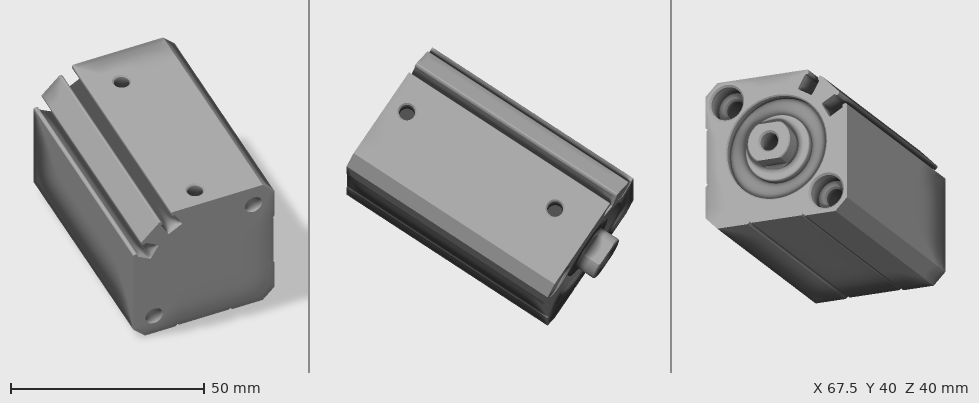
import cadquery as cq
import math


total_length = 67.5
side = 40.0
rod_projection = 5.0
housing_length = total_length - rod_projection
half_side = side / 2

corner_chamfer = 3.3
sensor_corner_chamfer = 9.6

slot_angle = 120
slot_floor_distance = 16.05
slot_width = 4.6
slot_floor_radius = 0.35
lip_thickness = 1.3
lip_edge_radius = 0.5
top_lip_end = 9.2
bevel_lip_end = 3.9

groove_offset = 7.5
groove_depth = 0.6
relief_depth = 0.2

mount_offset = 14.1
mount_diameter = 4.9
mount_bore_diameter = 9.0
mount_bore_depth = 5.5
mount_chamfer = 0.505

port_diameter = 4.1
port_chamfer = 0.4
port_depth = 5.0
first_port_x = 11.0
port_spacing = 46.05

recess_diameter = 28.0
recess_depth = 2.7
recess_chamfer = 0.35
boss_diameter = 18.0
boss_height = 2.15
boss_edge_radius = 0.5

rod_diameter = 12.0
rod_depth = 20.0
rod_tip_chamfer = 0.3
flat_width = 10.0
flat_length = 4.65
rod_hole_diameter = 4.9
rod_hole_depth = 10.0
rod_hole_chamfer = 0.505
drill_half_angle = 59


def cylinder(x_start, length, diameter, y=0, z=0):
    """Cylinder along X from x_start."""
    return cq.Workplane("YZ", origin=(x_start, y, z)).circle(diameter / 2).extrude(length)


def chamfer_cutter(x_start, diameter, size, y=0, z=0):
    """Cone that bevels the mouth of an X hole; its wide end is at x_start."""
    cone = cq.Solid.makeCone(diameter / 2 + size, diameter / 2, size, (x_start, y, z), (1, 0, 0))
    return cq.Workplane(obj=cone)


def housing_block():
    """Square bar with three small corner chamfers and a large one on the sensor corner."""
    c = corner_chamfer
    s = sensor_corner_chamfer
    h = half_side
    outline = [
        (h - c, h), (h, h - c),
        (h, c - h), (h - c, -h),
        (c - h, -h), (-h, c - h),
        (-h, h - s), (s - h, h),
    ]
    return cq.Workplane("YZ").polyline(outline).close().extrude(housing_length)


def slot_point(distance, offset):
    """(Y, Z) of a point given along the slot direction and across it, toward the bevel."""
    angle = math.radians(slot_angle)
    cos_a, sin_a = math.cos(angle), math.sin(angle)
    return (distance * cos_a - offset * sin_a, distance * sin_a + offset * cos_a)


def bevel_point(along, depth):
    """(Y, Z) of a point at a depth below the sensor bevel, measured from the middle of the bevel."""
    bevel_distance = (side - sensor_corner_chamfer) / math.sqrt(2)
    out = bevel_distance - depth
    return ((along - out) / math.sqrt(2), (along + out) / math.sqrt(2))


def top_lip_edges():
    """Outer and inner (Y, Z) corners of the lip that continues the top face."""
    return [(-top_lip_end, half_side), (-top_lip_end, half_side - lip_thickness)]


def bevel_lip_edges():
    """Outer and inner (Y, Z) corners of the lip that continues the sensor bevel."""
    return [bevel_point(bevel_lip_end, 0), bevel_point(bevel_lip_end, lip_thickness)]


def sensor_slot():
    """Full-length cutter for the slot between the top face and the sensor bevel."""
    half_width = slot_width / 2
    angle = math.radians(slot_angle)
    cos_a, sin_a = math.cos(angle), math.sin(angle)
    top_underside = half_side - lip_thickness
    top_wall = (top_underside + half_width * cos_a) / sin_a
    bevel_underside = side - sensor_corner_chamfer - lip_thickness * math.sqrt(2)
    bevel_wall = (bevel_underside - half_width * (cos_a + sin_a)) / (sin_a - cos_a)

    floor_corners = [
        slot_point(slot_floor_distance, half_width),
        slot_point(slot_floor_distance, -half_width),
    ]
    top_outer, top_inner = top_lip_edges()
    bevel_outer, bevel_inner = bevel_lip_edges()
    outline = floor_corners + [
        slot_point(top_wall, -half_width), top_inner, top_outer,
        (bevel_outer[0], half_side),
        bevel_outer, bevel_inner, slot_point(bevel_wall, half_width),
    ]
    cutter = cq.Workplane("YZ").polyline(outline).close().extrude(housing_length)
    return fillet_long_edges(cutter, floor_corners, slot_floor_radius)


def fillet_long_edges(body, points, radius):
    """Round the edges along X that pass through the given (Y, Z) points."""
    for y, z in points:
        edge = cq.selectors.NearestToPointSelector((housing_length / 2, y, z))
        body = body.edges("|X").edges(edge).fillet(radius)
    return body


def cut_sensor_slots(body):
    """Cut the slot and its mirror image across the plane Y = -Z, and round their lips."""
    slot = sensor_slot()
    mirrored_slot = slot.mirror(cq.Vector(0, 1, 1))
    lip_edges = top_lip_edges() + bevel_lip_edges()
    mirrored_edges = [(-z, -y) for y, z in lip_edges]
    body = body.cut(slot).cut(mirrored_slot)
    return fillet_long_edges(body, lip_edges + mirrored_edges, lip_edge_radius)


def relief_panel():
    """Cutter for the relief on the +Y side, with a V groove along each border."""
    h = half_side
    outer = groove_offset + groove_depth
    inner = groove_offset - (groove_depth - relief_depth)
    outline = [
        (h, outer), (h - groove_depth, groove_offset), (h - relief_depth, inner),
        (h - relief_depth, -inner), (h - groove_depth, -groove_offset), (h, -outer),
    ]
    return cq.Workplane("YZ").polyline(outline).close().extrude(housing_length)


def mount_hole(offset):
    """Counterbored through hole at Y = Z = offset."""
    hole = cylinder(0, housing_length, mount_diameter, offset, offset)
    bore = cylinder(0, mount_bore_depth, mount_bore_diameter, offset, offset)
    mouth = chamfer_cutter(0, mount_bore_diameter, mount_chamfer, offset, offset)
    step = chamfer_cutter(mount_bore_depth, mount_diameter, mount_chamfer, offset, offset)
    return hole.union(bore).union(mouth).union(step)


def port(x):
    """Blind flat-bottomed port cut down from the top face."""
    top = (x, 0, half_side)
    radius = port_diameter / 2
    down = (0, 0, -1)
    hole = cq.Workplane(obj=cq.Solid.makeCylinder(radius, port_depth, top, down))
    mouth = cq.Workplane(obj=cq.Solid.makeCone(radius + port_chamfer, radius, port_chamfer, top, down))
    return hole.union(mouth)


def front_recess():
    """Round recess around a lower boss with a rounded edge."""
    boss = (
        cylinder(recess_depth - boss_height, boss_height, boss_diameter)
        .faces("<X")
        .fillet(boss_edge_radius)
    )
    recess = cylinder(0, recess_depth, recess_diameter)
    return recess.union(chamfer_cutter(0, recess_diameter, recess_chamfer)).cut(boss)


def make_housing():
    body = cut_sensor_slots(housing_block())
    for turn in (0, -90):
        body = body.cut(relief_panel().rotate((0, 0, 0), (1, 0, 0), turn))
    for offset in (mount_offset, -mount_offset):
        body = body.cut(mount_hole(offset))
    for x in (first_port_x, first_port_x + port_spacing):
        body = body.cut(port(x))
    body = body.cut(front_recess())
    return body.cut(cylinder(0, rod_depth, rod_diameter))


def rod_flat_cutter():
    """Cutter for the upper wrench flat, ending in a 45 degree slope up to the rod surface."""
    flat_z = flat_width / 2
    rise = rod_diameter / 2 - flat_z
    flat_end = flat_length - rod_projection
    outline = [
        (-rod_projection, flat_z),
        (flat_end, flat_z),
        (flat_end + rise, flat_z + rise),
        (-rod_projection, flat_z + rise),
    ]
    return cq.Workplane("XZ").polyline(outline).close().extrude(rod_diameter / 2, both=True)


def rod_hole():
    """Blind hole in the rod tip with a chamfered mouth and a conical drill end."""
    radius = rod_hole_diameter / 2
    cone_height = radius / math.tan(math.radians(drill_half_angle))
    cone_start = rod_hole_depth - rod_projection
    cone = cq.Solid.makeCone(radius, 0, cone_height, (cone_start, 0, 0), (1, 0, 0))
    hole = cylinder(-rod_projection, rod_hole_depth, rod_hole_diameter)
    mouth = chamfer_cutter(-rod_projection, rod_hole_diameter, rod_hole_chamfer)
    return hole.union(mouth).union(cq.Workplane(obj=cone))


def make_rod():
    rod = cylinder(-rod_projection, rod_projection + rod_depth, rod_diameter)
    rod = rod.faces("<X").chamfer(rod_tip_chamfer)
    upper_flat = rod_flat_cutter()
    rod = rod.cut(upper_flat).cut(upper_flat.mirror("XY"))
    return rod.cut(rod_hole())


housing = make_housing()
rod = make_rod()

result = cq.Compound.makeCompound([housing.val(), rod.val()])